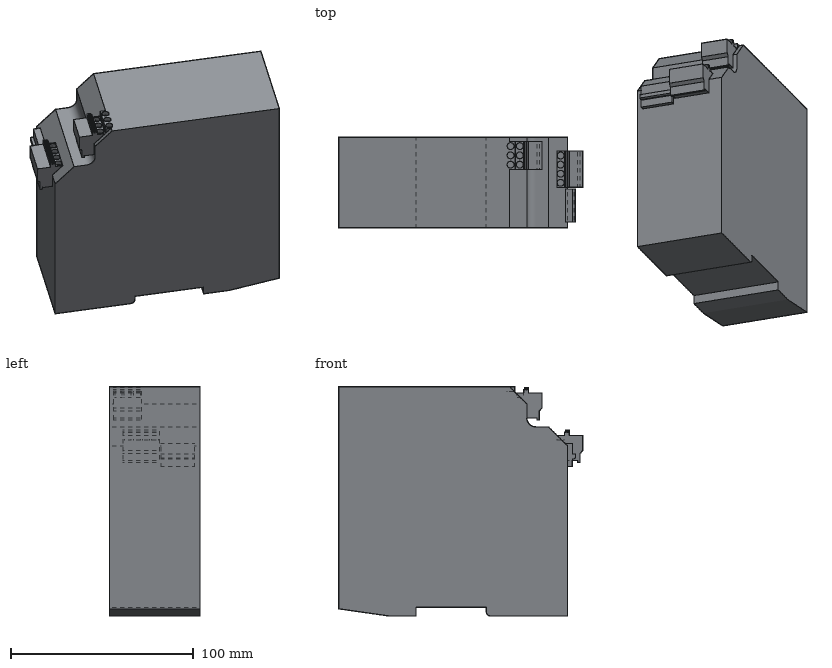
import cadquery as cq
import math

HOUSING_LENGTH = 125.2
WIDTH = 49.7
HEIGHT = 125.5
UPPER_CHAMFER_START = 93.5
STEP_X = 102.9
STEP_Z = 103.6
STEP_FILLET = 4.8
LOWER_CHAMFER_START = 114.7
REAR_TAPER_LENGTH = 28.0
REAR_TAPER_HEIGHT = 4.0

SLOT_START = 42.3
SLOT_END = 80.6
SLOT_DEPTH = 4.8
SLOT_FILLET = 2.7

POLE_PITCH = 5.1
CONNECTOR_LENGTH = 14.2
FRONT_FACE_HEIGHT = 8.3
FRONT_RELIEF = 1.5
RELIEF_END_DEPTH = 10.0
CONNECTOR_DEPTH = 13.9
HOOK_LENGTH = 1.3
HOOK_DROP = 1.1
EMBEDDING = 2.7
HOLE_DIAMETER = 3.7
HOLE_DEPTH = 2.7
HOLE_SETBACK = 12.1

RAIL_SETBACK = 7.3
RAIL_BASE_WIDTH = 2.8
RAIL_BASE_HEIGHT = 1.7
RAIL_TOP_WIDTH = 2.1
RAIL_HEIGHT = 2.8
RAIL_LIP_WIDTH = 0.8
RAIL_NOTCH_DEPTH = 1.2

UPPER_FRONT_X = 111.2
UPPER_TOP_Z = 122.2
UPPER_Y = 32.0
UPPER_POLES = 3
LOWER_FRONT_X = 133.5
LOWER_TOP_Z = 98.9
LOWER_Y = 22.2
LOWER_POLES = 4
LOWER_WIDTH = 19.9

TERMINAL_START = 91.7
TERMINAL_END = 96.4
TERMINAL_HOLE_X = 94.0
TERMINAL_DEPTH = 5.3

COVER_FRONT_X = 127.8
COVER_BOTTOM_Z = 81.8
COVER_TOP_Z = 94.4
COVER_Y = 3.2
COVER_WIDTH = 18.2
GRIP_DEPTH = 1.6
GRIP_BOTTOM_Z = 86.0
GRIP_HEIGHT = 2.7
GRIP_CHAMFER = 0.7


def extrude_along_y(outline, start_y, width):
    """Extrude an XZ outline from start_y toward +Y."""
    return outline.extrude(-width).translate((0, start_y, 0))


def box(start, end):
    """Box between two opposite corners."""
    size = [b - a for a, b in zip(start, end)]
    return cq.Workplane("XY").box(*size, centered=False).translate(start)


def make_housing():
    upper_chamfer = STEP_X - UPPER_CHAMFER_START
    lower_chamfer = HOUSING_LENGTH - LOWER_CHAMFER_START
    arc_reach = STEP_FILLET * (1 - math.sqrt(0.5))
    slot_reach = SLOT_FILLET * (1 - math.sqrt(0.5))
    outline = (
        cq.Workplane("XZ")
        .moveTo(0, REAR_TAPER_HEIGHT)
        .lineTo(REAR_TAPER_LENGTH, 0)
        .lineTo(SLOT_START, 0)
        .lineTo(SLOT_START, SLOT_DEPTH)
        .lineTo(SLOT_END, SLOT_DEPTH)
        .lineTo(SLOT_END, SLOT_FILLET)
        .threePointArc((SLOT_END + slot_reach, slot_reach), (SLOT_END + SLOT_FILLET, 0))
        .lineTo(HOUSING_LENGTH, 0)
        .lineTo(HOUSING_LENGTH, STEP_Z - lower_chamfer)
        .lineTo(LOWER_CHAMFER_START, STEP_Z)
        .lineTo(STEP_X + STEP_FILLET, STEP_Z)
        .threePointArc((STEP_X + arc_reach, STEP_Z + arc_reach), (STEP_X, STEP_Z + STEP_FILLET))
        .lineTo(STEP_X, HEIGHT - upper_chamfer)
        .lineTo(UPPER_CHAMFER_START, HEIGHT)
        .lineTo(0, HEIGHT)
        .close()
    )
    return extrude_along_y(outline, 0, WIDTH)


def pole_holes(x, top_z, start_y, width, poles):
    """Row of round wire openings, one per pole, sunk from top_z."""
    pitch = width / poles
    centres = [(x, start_y + pitch * (i + 0.5)) for i in range(poles)]
    return (
        cq.Workplane("XY", origin=(0, 0, top_z - HOLE_DEPTH))
        .pushPoints(centres)
        .circle(HOLE_DIAMETER / 2)
        .extrude(HOLE_DEPTH)
    )


def make_rail(front_x, base_z, start_y, width):
    """Rail with a flush front, a step along its back and a notch between two lips."""
    back_lip_end = RAIL_LIP_WIDTH - RAIL_TOP_WIDTH
    notch_z = RAIL_HEIGHT - RAIL_NOTCH_DEPTH
    outline = (
        cq.Workplane("XZ")
        .moveTo(0, 0)
        .lineTo(0, RAIL_HEIGHT)
        .lineTo(-RAIL_LIP_WIDTH, RAIL_HEIGHT)
        .lineTo(-RAIL_LIP_WIDTH, notch_z)
        .lineTo(back_lip_end, notch_z)
        .lineTo(back_lip_end, RAIL_HEIGHT)
        .lineTo(-RAIL_TOP_WIDTH, RAIL_HEIGHT)
        .lineTo(-RAIL_TOP_WIDTH, RAIL_BASE_HEIGHT)
        .lineTo(-RAIL_BASE_WIDTH, RAIL_BASE_HEIGHT)
        .lineTo(-RAIL_BASE_WIDTH, 0)
        .close()
    )
    return extrude_along_y(outline, start_y, width).translate((front_x, 0, base_z))


def make_connector(front_x, top_z, start_y, width):
    """Plug body with its rail; its back is buried in the housing."""
    buried_x = front_x - CONNECTOR_LENGTH - EMBEDDING
    relief_x = front_x - FRONT_RELIEF
    hook_x = relief_x - HOOK_LENGTH
    bottom_z = top_z - CONNECTOR_DEPTH
    outline = (
        cq.Workplane("XZ")
        .moveTo(buried_x, top_z)
        .lineTo(front_x, top_z)
        .lineTo(front_x, top_z - FRONT_FACE_HEIGHT)
        .lineTo(relief_x, top_z - RELIEF_END_DEPTH)
        .lineTo(relief_x, bottom_z - HOOK_DROP)
        .lineTo(hook_x, bottom_z - HOOK_DROP)
        .lineTo(hook_x, bottom_z)
        .lineTo(buried_x, bottom_z)
        .close()
    )
    body = extrude_along_y(outline, start_y, width)
    return body.union(make_rail(front_x - RAIL_SETBACK, top_z, start_y, width))


def make_cover():
    """Flat cover on the front face with a grip ridge along its full width."""
    end_y = COVER_Y + COVER_WIDTH
    plate = box(
        (HOUSING_LENGTH - EMBEDDING, COVER_Y, COVER_BOTTOM_Z),
        (COVER_FRONT_X, end_y, COVER_TOP_Z),
    )
    grip = box(
        (COVER_FRONT_X, COVER_Y, GRIP_BOTTOM_Z),
        (COVER_FRONT_X + GRIP_DEPTH, end_y, GRIP_BOTTOM_Z + GRIP_HEIGHT),
    )
    return plate.union(grip.edges(">X and <Z").chamfer(GRIP_CHAMFER))


upper_width = POLE_PITCH * UPPER_POLES
terminal_block = box(
    (TERMINAL_START, UPPER_Y, HEIGHT - TERMINAL_DEPTH),
    (TERMINAL_END, UPPER_Y + upper_width, HEIGHT),
)

result = (
    make_housing()
    .union(terminal_block)
    .union(make_connector(UPPER_FRONT_X, UPPER_TOP_Z, UPPER_Y, upper_width))
    .union(make_connector(LOWER_FRONT_X, LOWER_TOP_Z, LOWER_Y, LOWER_WIDTH))
    .union(make_cover())
    .cut(pole_holes(TERMINAL_HOLE_X, HEIGHT, UPPER_Y, upper_width, UPPER_POLES))
    .cut(pole_holes(UPPER_FRONT_X - HOLE_SETBACK, UPPER_TOP_Z, UPPER_Y, upper_width, UPPER_POLES))
    .cut(pole_holes(LOWER_FRONT_X - HOLE_SETBACK, LOWER_TOP_Z, LOWER_Y, LOWER_WIDTH, LOWER_POLES))
)